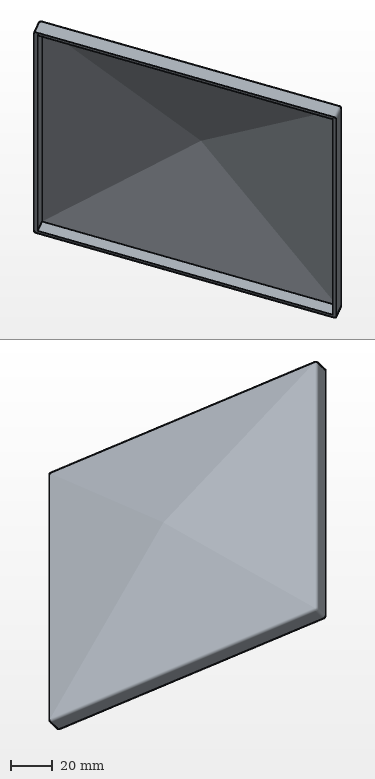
import cadquery as cq
import math

side = 155.0
total_depth = 24.5
rim_depth = 7.8
edge_radius = 1.5
wall = 2.0

roof_slope = (total_depth - rim_depth) / (side / 2)
roof_angle = math.atan(roof_slope)

inner_side = side - 2 * wall
inner_apex_depth = total_depth - wall / math.cos(roof_angle)
inner_rim_depth = inner_apex_depth - roof_slope * inner_side / 2


def square_pyramid(width, base_y):
    """Pyramid of the roof pitch on a square base at y = base_y, with its apex towards +Y."""
    half = width / 2
    apex = cq.Vector(0, base_y + roof_slope * half, 0)
    corners = [
        cq.Vector(x, base_y, z)
        for x, z in ((-half, -half), (half, -half), (half, half), (-half, half))
    ]
    outlines = [corners]
    for start, end in zip(corners, corners[1:] + corners[:1]):
        outlines.append([start, end, apex])
    faces = [
        cq.Face.makeFromWires(cq.Wire.makePolygon(outline, close=True))
        for outline in outlines
    ]
    return cq.Workplane(cq.Solid.makeSolid(cq.Shell.makeShell(faces)))


def roofed_block(width, edge_depth):
    """Square block from y = 0 to y = edge_depth with a pyramid roof on it."""
    block = cq.Workplane("XY").box(width, edge_depth, width, centered=(True, False, True))
    return block.union(square_pyramid(width, edge_depth))


def outer_body():
    """Solid cap with its upright corners and the foot of its roof rounded."""
    upright_edges = cq.selectors.ParallelDirSelector(cq.Vector(0, 1, 0))
    foot_edges = cq.selectors.BoxSelector(
        (-side, rim_depth - edge_radius, -side),
        (side, rim_depth + edge_radius, side),
    )
    return roofed_block(side, rim_depth).edges(upright_edges + foot_edges).fillet(edge_radius)


def hollow():
    """Sharp-cornered space inside the cap, open towards -Y."""
    return roofed_block(inner_side, inner_rim_depth)


result = outer_body().cut(hollow())